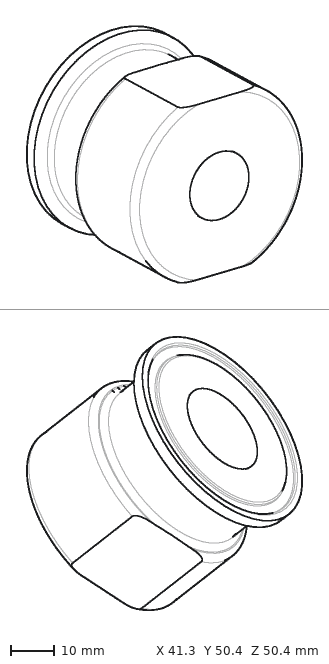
import cadquery as cq
import math

length = 41.25

flange_radius = 50.4 / 2
rim_width = 2.9
cone_angle = 20
flange_fillet = 1.5

neck_radius = 42.6 / 2

body_start = 17.55
body_radius = 49.5 / 2
across_flats = 44.45
body_fillet = 1.6
neck_fillet = 1.5

groove_radius = 21.8
groove_half_mouth = 1.75
groove_wall_angle = 20
groove_floor_radius = 1.25
groove_lip_radius = 0.45

bore_mouth_radius = 22.05 / 2
bore_radius = 17.1 / 2
taper_length = 18.75


def flange():
    """Straight rim, then a conical back down to the neck with a fillet at its foot."""
    cone_drop = flange_radius - neck_radius
    cone_end = rim_width + cone_drop * math.tan(math.radians(cone_angle))
    tangent_length = flange_fillet * math.tan(math.radians((90 - cone_angle) / 2))
    fillet_end = cone_end + tangent_length
    centre_radius = neck_radius + flange_fillet

    def fillet_point(angle):
        """Point on the fillet arc, at an angle from the direction facing the flange."""
        turn = math.radians(angle)
        x = fillet_end - flange_fillet * math.cos(turn)
        return (x, centre_radius - flange_fillet * math.sin(turn))

    return (
        cq.Workplane("XY")
        .lineTo(0, flange_radius)
        .lineTo(rim_width, flange_radius)
        .lineTo(*fillet_point(cone_angle))
        .threePointArc(fillet_point((cone_angle + 90) / 2), fillet_point(90))
        .lineTo(fillet_end, 0)
        .close()
        .revolve(360, (0, 0, 0), (1, 0, 0))
    )


def neck():
    """Cylinder that flares into the body face with a concave fillet."""
    flare_start = body_start - neck_fillet
    middle = neck_fillet * math.sqrt(0.5)
    flare_middle = (flare_start + middle, neck_radius + neck_fillet - middle)
    return (
        cq.Workplane("XY")
        .lineTo(0, neck_radius)
        .lineTo(flare_start, neck_radius)
        .threePointArc(flare_middle, (body_start, neck_radius + neck_fillet))
        .lineTo(body_start, 0)
        .close()
        .revolve(360, (0, 0, 0), (1, 0, 0))
    )


def body():
    """Cylinder with rounded ends."""
    start_plane = cq.Workplane("YZ", origin=(body_start, 0, 0))
    cylinder = start_plane.circle(body_radius).extrude(length - body_start)
    return cylinder.faces("<X or >X").edges().fillet(body_fillet)


def trim_to_flats(solid):
    """Cut the body, and the flare beside it, down to the two wrench flats."""
    trim_start = body_start - neck_fillet
    trim_length = length - trim_start
    trim_height = body_radius - across_flats / 2
    for side in (1, -1):
        trim = cq.Workplane("XY").box(trim_length, 2 * body_radius, trim_height)
        trim_centre_z = side * (across_flats / 2 + trim_height / 2)
        solid = solid.cut(trim.translate((trim_start + trim_length / 2, 0, trim_centre_z)))
    return solid


def gasket_groove():
    """Ring-shaped cutter: rounded lips, straight sloping walls and an arc floor, all tangent."""
    slope = math.radians(groove_wall_angle)
    lip_end_x = groove_lip_radius * (1 - math.sin(slope))
    lip_end_offset = groove_half_mouth - groove_lip_radius * math.cos(slope)
    floor_end_offset = groove_floor_radius * math.cos(slope)
    floor_end_x = lip_end_x + (lip_end_offset - floor_end_offset) / math.tan(slope)
    depth = floor_end_x + groove_floor_radius * (1 - math.sin(slope))

    lip_middle_angle = (slope + math.pi / 2) / 2
    lip_middle_x = groove_lip_radius * (1 - math.sin(lip_middle_angle))
    lip_middle_offset = groove_half_mouth - groove_lip_radius * math.cos(lip_middle_angle)
    return (
        cq.Workplane("XY")
        .moveTo(0, groove_radius - groove_half_mouth)
        .threePointArc(
            (lip_middle_x, groove_radius - lip_middle_offset),
            (lip_end_x, groove_radius - lip_end_offset),
        )
        .lineTo(floor_end_x, groove_radius - floor_end_offset)
        .threePointArc((depth, groove_radius), (floor_end_x, groove_radius + floor_end_offset))
        .lineTo(lip_end_x, groove_radius + lip_end_offset)
        .threePointArc(
            (lip_middle_x, groove_radius + lip_middle_offset),
            (0, groove_radius + groove_half_mouth),
        )
        .close()
        .revolve(360, (0, 0, 0), (1, 0, 0))
    )


def bore():
    """Through cutter: a taper from the flange face, then a straight hole."""
    return (
        cq.Workplane("XY")
        .lineTo(0, bore_mouth_radius)
        .lineTo(taper_length, bore_radius)
        .lineTo(length, bore_radius)
        .lineTo(length, 0)
        .close()
        .revolve(360, (0, 0, 0), (1, 0, 0))
    )


outside = trim_to_flats(flange().union(neck()).union(body()))
result = outside.cut(gasket_groove()).cut(bore())